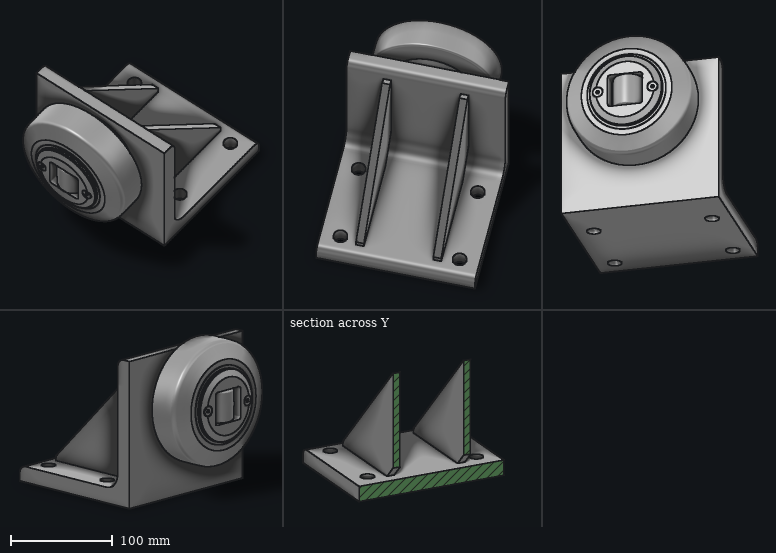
import cadquery as cq
import math

bracket_width = 160.0
leg_length = 150.0
leg_thickness = 16.1
edge_radius = 8.0
root_radius = 16.0

hole_diameter = 13.8
hole_spacing_x = 120.0
hole_spacing_y = 80.0
hole_edge_distance = 20.1

rib_thickness = 8.0
rib_gap = 70.0
rib_leg = 120.0
rib_land = 5.0
rib_corner_cut = 25.1

roller_height = 100.0
neck_diameter = 80.0
roller_diameter = 127.8
roller_back = 13.5
roller_back_radius = 3.0
roller_crown = 0.2
rim_front = 40.6
cone_start = 45.3
cone_start_diameter = 121.0
cone_end = 51.1
cone_end_diameter = 92.0
seal_ring_diameter = neck_diameter
seal_ring_front = 51.7

cap_diameter = 74.0
cap_step_front = 53.8
cap_rim_diameter = 73.1
cap_rim_front = 55.0
cap_front = 57.6
cap_face_diameter = 59.0

screw_spacing = 55.7
screw_diameter = 10.5
screw_head_diameter = 9.8
screw_recess = 0.5
socket_width = 3.0
socket_depth = 2.0

window_width = 35.5
window_height = 33.5
window_corner_radius = 3.0
window_floor_margin = 2.0
overall_front = 59.5
side_roller_diameter = 31.2
side_roller_crown = 0.5
side_roller_length = 32.7
side_roller_edge_radius = 2.3
window_depth = cap_front - overall_front + side_roller_diameter / 2 + window_floor_margin


def front_plane(distance):
    """Plane on the roller axis, facing forward, at a distance in front of the bracket."""
    return cq.Workplane("XZ", origin=(0, -distance, roller_height))


def edge_near(y, z):
    """Selector for the bracket edge along X that passes through the given Y and Z."""
    return cq.NearestToPointSelector((0, y, z))


def make_bracket():
    legs = (
        cq.Workplane("YZ")
        .polyline([
            (0, 0),
            (leg_length, 0),
            (leg_length, leg_thickness),
            (leg_thickness, leg_thickness),
            (leg_thickness, leg_length),
            (0, leg_length),
        ])
        .close()
        .extrude(bracket_width / 2, both=True)
    )
    legs = legs.edges(edge_near(leg_thickness, leg_thickness)).fillet(root_radius)
    for y, z in ((leg_length, leg_thickness), (leg_thickness, leg_length)):
        legs = legs.edges(edge_near(y, z)).fillet(edge_radius)

    holes = (
        cq.Workplane("XY")
        .center(0, leg_length - hole_edge_distance - hole_spacing_y / 2)
        .rect(hole_spacing_x, hole_spacing_y, forConstruction=True)
        .vertices()
        .circle(hole_diameter / 2)
        .extrude(leg_thickness)
    )
    return legs.cut(holes)


def make_rib(start_x):
    inner = leg_thickness
    outer = leg_thickness + rib_leg
    return (
        cq.Workplane("YZ", origin=(start_x, 0, 0))
        .polyline([
            (inner + rib_corner_cut, inner),
            (outer, inner),
            (outer, inner + rib_land),
            (inner + rib_land, outer),
            (inner, outer),
            (inner, inner + rib_corner_cut),
        ])
        .close()
        .extrude(rib_thickness)
    )


def make_roller():
    """Neck, roller and cap as one profile (radius, distance) turned about the roller axis."""
    roller_radius = roller_diameter / 2
    rim_radius = roller_radius - roller_crown
    rim_back = roller_back + roller_back_radius
    crown_middle = (rim_back + rim_front) / 2
    profile = (
        cq.Workplane("XY", origin=(0, 0, roller_height))
        .moveTo(0, 0)
        .lineTo(neck_diameter / 2, 0)
        .lineTo(neck_diameter / 2, -roller_back)
        .lineTo(rim_radius - roller_back_radius, -roller_back)
        .radiusArc((rim_radius, -rim_back), roller_back_radius)
        .threePointArc((roller_radius, -crown_middle), (rim_radius, -rim_front))
        .tangentArcPoint((cone_start_diameter / 2, -cone_start), relative=False)
        .lineTo(cone_end_diameter / 2, -cone_end)
        .lineTo(seal_ring_diameter / 2, -cone_end)
        .lineTo(seal_ring_diameter / 2, -seal_ring_front)
        .lineTo(cap_diameter / 2, -seal_ring_front)
        .lineTo(cap_diameter / 2, -cap_step_front)
        .lineTo(cap_rim_diameter / 2, -cap_step_front)
        .lineTo(cap_rim_diameter / 2, -cap_rim_front)
        .lineTo(cap_face_diameter / 2, -cap_front)
        .lineTo(0, -cap_front)
        .close()
    )
    return profile.revolve(360, (0, 0, 0), (0, 1, 0))


def add_screws(body):
    places = [(-screw_spacing / 2, 0), (screw_spacing / 2, 0)]
    depth = cap_front - cone_end
    bores = front_plane(cone_end).pushPoints(places).circle(screw_diameter / 2).extrude(depth)
    heads = (
        front_plane(cone_end)
        .pushPoints(places)
        .circle(screw_head_diameter / 2)
        .extrude(depth - screw_recess)
    )
    socket_circle = socket_width / math.cos(math.pi / 6)
    sockets = (
        front_plane(cap_front - screw_recess - socket_depth)
        .pushPoints(places)
        .polygon(6, socket_circle)
        .extrude(socket_depth)
    )
    return body.cut(bores).union(heads).cut(sockets)


def add_side_roller(body):
    window = (
        front_plane(cap_front - window_depth)
        .rect(window_width, window_height)
        .extrude(window_depth)
        .edges("|Y")
        .fillet(window_corner_radius)
    )
    radius = side_roller_diameter / 2
    end_radius = radius - side_roller_crown
    half_length = side_roller_length / 2
    side_roller = (
        cq.Workplane("XZ")
        .moveTo(0, -half_length)
        .lineTo(end_radius, -half_length)
        .threePointArc((radius, 0), (end_radius, half_length))
        .lineTo(0, half_length)
        .close()
        .revolve(360, (0, 0, 0), (0, 1, 0))
        .faces("|Z")
        .edges()
        .fillet(side_roller_edge_radius)
        .translate((0, radius - overall_front, roller_height))
    )
    return body.cut(window).union(side_roller)


result = make_bracket()
for rib_start in (rib_gap / 2, -rib_gap / 2 - rib_thickness):
    result = result.union(make_rib(rib_start))
result = result.union(add_side_roller(add_screws(make_roller())))